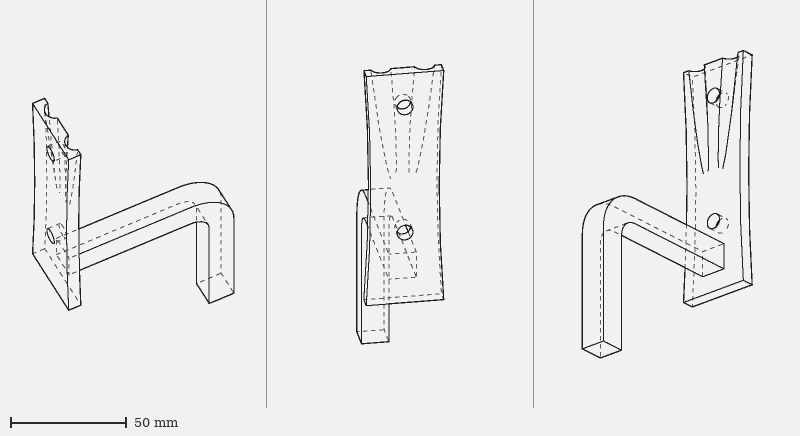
import cadquery as cq
import math

total_height = 165.0
total_depth = 86.0

plate_width = 34.0
plate_height = 110.0
plate_thickness = 6.0
waist_inset = 2.0

hole_diameter = 7.0
upper_hole_from_top = 16.3
hole_spacing = 60.0

bar_size = 12.0
inner_bend_radius = 8.9

groove_radius = 4.5
groove_depth = 3.5
groove_offset = 9.5
groove_inward_shift = 5.6

plate_bottom = total_height - plate_height
plate_middle = plate_bottom + plate_height / 2
outer_bend_radius = inner_bend_radius + bar_size


def make_plate():
    """Plate with straight ends and long sides bowed inward."""
    half_width = plate_width / 2
    half_waist = half_width - waist_inset
    return (
        cq.Workplane("XZ")
        .moveTo(-half_width, plate_bottom)
        .lineTo(half_width, plate_bottom)
        .threePointArc((half_waist, plate_middle), (half_width, total_height))
        .lineTo(-half_width, total_height)
        .threePointArc((-half_waist, plate_middle), (-half_width, plate_bottom))
        .close()
        .extrude(-plate_thickness)
    )


def make_screw_holes():
    """Two plain holes through the plate on its centre line."""
    upper_z = total_height - upper_hole_from_top
    return (
        cq.Workplane("XZ")
        .pushPoints([(0, upper_z), (0, upper_z - hole_spacing)])
        .circle(hole_diameter / 2)
        .extrude(-plate_thickness)
    )


def make_groove(side):
    """Slanted cylinder, deepest at the top edge and leaving the back face at mid-height."""
    axis_y = plate_thickness + groove_radius - groove_depth
    top = cq.Vector(side * groove_offset, axis_y, total_height)
    run_out = cq.Vector(
        side * (groove_offset - groove_inward_shift),
        axis_y + groove_depth,
        plate_middle,
    )
    axis = run_out - top
    direction = axis.normalized()
    overrun = groove_radius
    cutter = cq.Solid.makeCylinder(
        groove_radius,
        axis.Length + 2 * overrun,
        top - direction * overrun,
        direction,
    )
    return cq.Workplane(cutter)


def make_bar():
    """Straight arm, quarter-turn bend and straight leg, all of one square section."""
    bend_start_y = total_depth - outer_bend_radius
    outer_reach = outer_bend_radius * math.sqrt(0.5)
    inner_reach = inner_bend_radius * math.sqrt(0.5)
    arm_top = plate_bottom + outer_bend_radius
    arm_underside = plate_bottom + inner_bend_radius
    leg_inside = total_depth - bar_size
    return (
        cq.Workplane("YZ")
        .moveTo(plate_thickness, arm_top)
        .lineTo(bend_start_y, arm_top)
        .threePointArc(
            (bend_start_y + outer_reach, plate_bottom + outer_reach),
            (total_depth, plate_bottom),
        )
        .lineTo(total_depth, 0)
        .lineTo(leg_inside, 0)
        .lineTo(leg_inside, plate_bottom)
        .threePointArc(
            (bend_start_y + inner_reach, plate_bottom + inner_reach),
            (bend_start_y, arm_underside),
        )
        .lineTo(plate_thickness, arm_underside)
        .close()
        .extrude(bar_size / 2, both=True)
    )


result = make_plate().cut(make_screw_holes())
for side in (-1, 1):
    result = result.cut(make_groove(side))
result = result.union(make_bar())